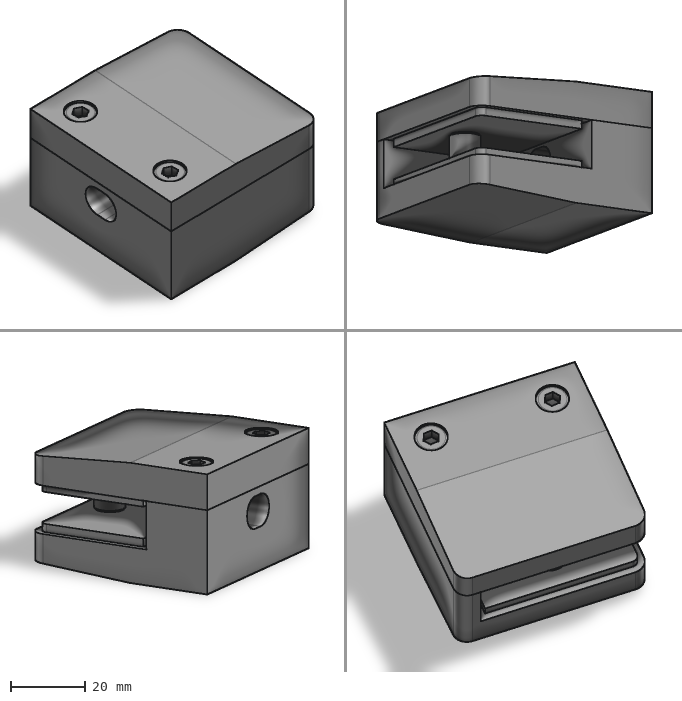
import cadquery as cq

SIDE = 55.0
HEIGHT = 33.5
HALF_SIDE = SIDE / 2
HALF_HEIGHT = HEIGHT / 2
JAW_THICKNESS = 10.0
CORNER_RADIUS = 4.0

TAPER_LENGTH = 31.0
TAPER_DROP = 2.05

SLOT_HALF_HEIGHT = HALF_HEIGHT - JAW_THICKNESS
BACK_BLOCK_DEPTH = 18.9
SIDE_WALL_THICKNESS = 6.45
SLOT_BACK_Y = -HALF_SIDE + BACK_BLOCK_DEPTH
SLOT_WALL_X = HALF_SIDE - SIDE_WALL_THICKNESS

PASSAGE_WIDTH = 12.0
PASSAGE_HEIGHT = 9.0

PAD_THICKNESS = 2.3
PAD_INSET = 2.0
PAD_CORNER_RADIUS = CORNER_RADIUS - PAD_INSET

PIN_DIAMETER = 8.5
PIN_END_DIAMETER = 7.7
PIN_END_HEIGHT = 0.45
PIN_X = (SLOT_WALL_X - HALF_SIDE) / 2
PIN_Y = 16.55

SCREW_SIDE_DISTANCE = 10.0
SCREW_FRONT_DISTANCE = 9.0
HEAD_DIAMETER = 9.0
HEAD_HEIGHT = 5.0
HEAD_ROUNDING = 0.65
HEAD_RECESS = 0.3
SHANK_DIAMETER = 5.0
SHANK_LENGTH = 16.0
HEX_CORNER_DIAMETER = 4.6
HEX_DEPTH = 3.0
HEX_TURN = 5.0

SCREW_X = HALF_SIDE - SCREW_SIDE_DISTANCE
SCREW_Y = -HALF_SIDE + SCREW_FRONT_DISTANCE
HEAD_TOP_Z = HALF_HEIGHT - HEAD_RECESS
HEAD_SEAT_Z = HEAD_TOP_Z - HEAD_HEIGHT
SCREW_POINTS = [(-SCREW_X, SCREW_Y), (SCREW_X, SCREW_Y)]


def cylinder(diameter, bottom, top):
    """Upright cylinder on the Z axis between two levels."""
    return cq.Workplane("XY").workplane(offset=bottom).circle(diameter / 2).extrude(top - bottom)


def tapered_block():
    """Outer shape of the closed clamp, with tapered jaws and rounded +Y corners."""
    taper_start = HALF_SIDE - TAPER_LENGTH
    tip_height = HALF_HEIGHT - TAPER_DROP
    return (
        cq.Workplane("YZ")
        .polyline(
            [
                (-HALF_SIDE, -HALF_HEIGHT),
                (taper_start, -HALF_HEIGHT),
                (HALF_SIDE, -tip_height),
                (HALF_SIDE, tip_height),
                (taper_start, HALF_HEIGHT),
                (-HALF_SIDE, HALF_HEIGHT),
            ]
        )
        .close()
        .extrude(HALF_SIDE, both=True)
        .edges("|Z and >Y")
        .fillet(CORNER_RADIUS)
    )


def screw_hole():
    """Counterbored hole for one screw, on the Z axis."""
    shank_hole = cylinder(SHANK_DIAMETER, HEAD_SEAT_Z - SHANK_LENGTH, HEAD_SEAT_Z)
    return shank_hole.union(cylinder(HEAD_DIAMETER, HEAD_SEAT_Z, HALF_HEIGHT))


def cut_screw_holes(body):
    """Cut both screw holes into a body."""
    for x, y in SCREW_POINTS:
        body = body.cut(screw_hole().translate((x, y, 0)))
    return body


def make_base():
    """Lower jaw with the back block and the side wall."""
    upper_space = (
        cq.Workplane("XY").workplane(offset=SLOT_HALF_HEIGHT).rect(SIDE, SIDE).extrude(JAW_THICKNESS)
    )
    slot = (
        cq.Workplane("XY")
        .workplane(offset=-SLOT_HALF_HEIGHT)
        .moveTo(-HALF_SIDE, SLOT_BACK_Y)
        .lineTo(SLOT_WALL_X, SLOT_BACK_Y)
        .lineTo(SLOT_WALL_X, HALF_SIDE)
        .lineTo(-HALF_SIDE, HALF_SIDE)
        .close()
        .extrude(2 * SLOT_HALF_HEIGHT)
    )
    passage = (
        cq.Workplane("XZ", origin=(0, -HALF_SIDE, 0))
        .slot2D(PASSAGE_WIDTH, PASSAGE_HEIGHT)
        .extrude(-BACK_BLOCK_DEPTH)
    )
    return cut_screw_holes(tapered_block().cut(upper_space).cut(slot).cut(passage))


def make_cover():
    """Upper jaw, a plate lying on the base."""
    lower_space = (
        cq.Workplane("XY").workplane(offset=SLOT_HALF_HEIGHT).rect(SIDE, SIDE).extrude(-HEIGHT)
    )
    return cut_screw_holes(tapered_block().cut(lower_space))


def make_pad(bottom):
    """Flat pad with a rounded corner at the open corner of the slot."""
    return (
        cq.Workplane("XY")
        .workplane(offset=bottom)
        .moveTo(-HALF_SIDE + PAD_INSET, SLOT_BACK_Y + PAD_INSET)
        .lineTo(SLOT_WALL_X - PAD_INSET, SLOT_BACK_Y + PAD_INSET)
        .lineTo(SLOT_WALL_X - PAD_INSET, HALF_SIDE - PAD_INSET)
        .lineTo(-HALF_SIDE + PAD_INSET, HALF_SIDE - PAD_INSET)
        .close()
        .extrude(PAD_THICKNESS)
        .edges("|Z and <X and >Y")
        .fillet(PAD_CORNER_RADIUS)
    )


def make_pin():
    """Short pin with stepped-down ends, standing between the two pads."""
    half_length = SLOT_HALF_HEIGHT - PAD_THICKNESS
    half_body = half_length - PIN_END_HEIGHT
    ends = cylinder(PIN_END_DIAMETER, -half_length, half_length)
    return ends.union(cylinder(PIN_DIAMETER, -half_body, half_body)).translate((PIN_X, PIN_Y, 0))


def make_screw(x, y):
    """Screw with a rounded head edge and a hexagon socket."""
    head = cylinder(HEAD_DIAMETER, HEAD_SEAT_Z, HEAD_TOP_Z).faces(">Z").edges().fillet(HEAD_ROUNDING)
    shank = cylinder(SHANK_DIAMETER, HEAD_SEAT_Z - SHANK_LENGTH, HEAD_SEAT_Z)
    socket = (
        cq.Workplane("XY")
        .workplane(offset=HEAD_TOP_Z - HEX_DEPTH)
        .polygon(6, HEX_CORNER_DIAMETER)
        .extrude(HEX_DEPTH)
        .rotate((0, 0, 0), (0, 0, 1), HEX_TURN)
    )
    return head.union(shank).cut(socket).translate((x, y, 0))


base = make_base()
cover = make_cover()
pads = [make_pad(bottom) for bottom in (-SLOT_HALF_HEIGHT, SLOT_HALF_HEIGHT - PAD_THICKNESS)]
pin = make_pin()
screws = [make_screw(x, y) for x, y in SCREW_POINTS]

result = cq.Compound.makeCompound(
    [
        base.val(),
        cover.val(),
        *[pad.val() for pad in pads],
        pin.val(),
        *[screw.val() for screw in screws],
    ]
)